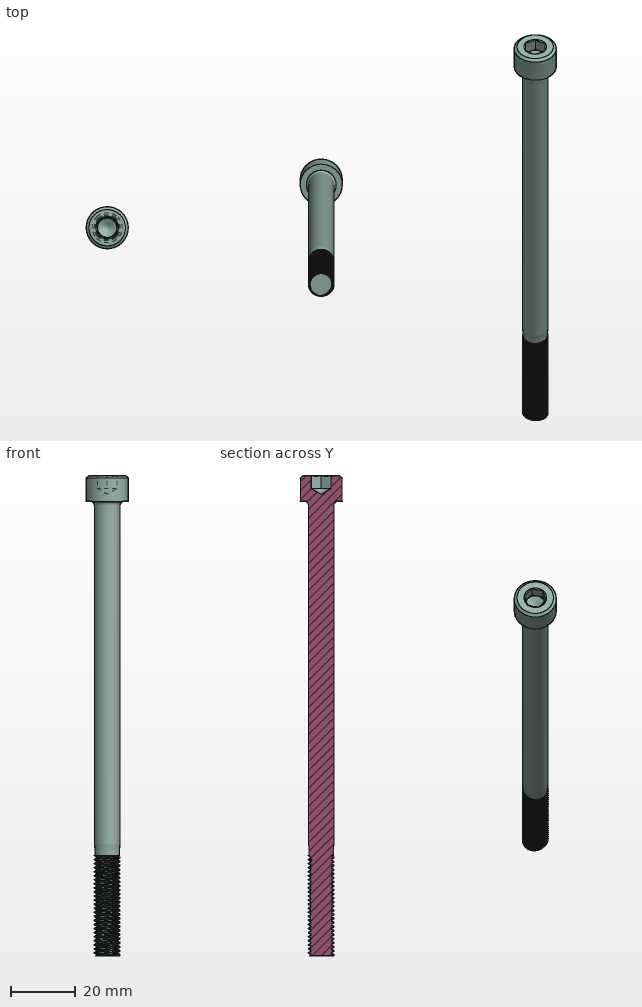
import cadquery as cq
import math

shank_radius = 8.0 / 2
shank_length = 140.0

head_radius = 13.0 / 2
head_height = 8.0
head_chamfer_width = 0.9
head_chamfer_height = 0.7
collar_radius = 9.2 / 2
collar_height = 0.2
under_head_length = 1.2

socket_flats = 6.0
socket_corners = socket_flats / math.cos(math.radians(30))
socket_depth = 4.0
drill_point_angle = 120.0
countersink_angle = 120.0
overshoot = 0.1

pitch = 1.25
flank_angle = 60.0
sharp_height = pitch / 2 / math.tan(math.radians(flank_angle / 2))
root_radius = shank_radius - 5 / 8 * sharp_height
root_flat = pitch / 4
thread_length = 31.0
groove_tip_angle = 270.0
flank_samples = 8

neck_length = 3.4
neck_end_radius = 3.8
neck_middle_radius = 3.8

tip_z = -shank_length
neck_bottom_z = tip_z + thread_length
neck_top_z = neck_bottom_z + neck_length


def polar(radius, angle):
    """Point in the XY plane at a radius and an angle in degrees."""
    return (radius * math.cos(math.radians(angle)), radius * math.sin(math.radians(angle)))


def make_threaded_rod():
    """Thread section at right angles to the axis, twisted upwards from the tip.

    A straight flank becomes a spiral in this section, its radius growing evenly with angle.
    """
    degrees_per_mm = 360 / pitch
    depth = shank_radius - root_radius
    root_end = root_flat / 2 * degrees_per_mm
    flank_turn = depth * math.tan(math.radians(flank_angle / 2)) * degrees_per_mm
    crest_start = root_end + flank_turn

    def rising_flank(t):
        return polar(root_radius + depth * t, root_end + flank_turn * t)

    def falling_flank(t):
        return polar(shank_radius - depth * t, -crest_start + flank_turn * t)

    section = (
        cq.Workplane("XY")
        .moveTo(*polar(root_radius, -root_end))
        .threePointArc(polar(root_radius, 0), polar(root_radius, root_end))
        .parametricCurve(rising_flank, N=flank_samples, makeWire=False)
        .threePointArc(polar(shank_radius, 180), polar(shank_radius, -crest_start))
        .parametricCurve(falling_flank, N=flank_samples, makeWire=False)
        .wire()
    )
    left_handed_turn = -thread_length * degrees_per_mm
    rod = section.twistExtrude(thread_length, left_handed_turn)
    return rod.rotate((0, 0, 0), (0, 0, 1), groove_tip_angle).translate((0, 0, tip_z))


def make_head_and_shank():
    """Run-out neck, plain shank, under-head fillet, low collar and head, turned in one."""
    neck_middle = (neck_middle_radius, (neck_top_z + neck_bottom_z) / 2)
    return (
        cq.Workplane("XZ")
        .moveTo(0, neck_bottom_z)
        .lineTo(neck_end_radius, neck_bottom_z)
        .threePointArc(neck_middle, (shank_radius, neck_top_z))
        .lineTo(shank_radius, -under_head_length)
        .tangentArcPoint((collar_radius, -collar_height), relative=False)
        .lineTo(collar_radius, 0)
        .lineTo(head_radius, 0)
        .lineTo(head_radius, head_height - head_chamfer_height)
        .lineTo(head_radius - head_chamfer_width, head_height)
        .lineTo(0, head_height)
        .close()
        .revolve(360, (0, 0), (0, 1))
    )


def make_downward_cone(radius, point_angle, rim_z):
    """Cone with its rim at rim_z and its point below."""
    height = radius / math.tan(math.radians(point_angle / 2))
    cone = cq.Solid.makeCone(0, radius, height, pnt=cq.Vector(0, 0, rim_z - height))
    return cq.Workplane(cone)


def make_socket():
    """Hexagon socket with corners on +Y and -Y, a drill point and a countersunk rim."""
    floor_z = head_height - socket_depth
    hexagon = (
        cq.Workplane("XY", origin=(0, 0, floor_z))
        .polygon(6, socket_corners)
        .extrude(socket_depth + overshoot)
        .rotate((0, 0, 0), (0, 0, 1), 30)
    )
    drill_point = make_downward_cone(socket_flats / 2, drill_point_angle, floor_z)
    countersink = make_downward_cone(socket_corners / 2, countersink_angle, head_height)
    return hexagon.union(drill_point).union(countersink)


head_and_shank = make_head_and_shank().cut(make_socket())
result = head_and_shank.union(make_threaded_rod(), clean=False)